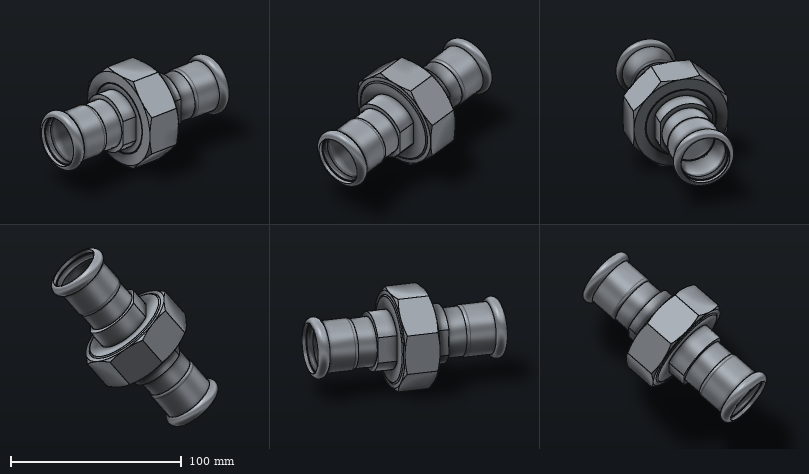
import cadquery as cq
import math

half_length = 58.5

pipe_diameter = 30.0
pipe_bore_diameter = 27.0
socket_diameter = 31.4
socket_bore_diameter = 28.4
socket_start = 33.5
socket_round_length = 2.1
bead_diameter = 37.0
bead_width = 7.3
mouth_diameter = 30.0
mouth_depth = 2.5
seat_diameter = 28.8
groove_diameter = 33.0
groove_start_depth = 2.8
groove_end_depth = 6.5
seat_end_depth = 7.3
seat_taper_length = 0.7

collar_diameter = 35.8
collar_flats = 32.0
collar_end = 22.0

nut_sides = 8
nut_flats = 58.0
nut_back = 9.5
nut_front = -12.2
nut_chamfer_angle = 30.0
nut_rim_base_diameter = 52.9
nut_rim_top_diameter = 51.0
nut_rim_height = 0.6

gap_outer_diameter = 44.0
gap_inner_diameter = 43.0
gap_depth = 1.2


def cylinder(diameter, start, end):
    """Cylinder on the Y axis between two Y positions."""
    direction = cq.Vector(0, 1, 0)
    return cq.Workplane(cq.Solid.makeCylinder(diameter / 2, end - start, cq.Vector(0, start, 0), direction))


def cone(start_diameter, end_diameter, start, end):
    """Truncated cone on the Y axis between two Y positions."""
    return cq.Workplane(
        cq.Solid.makeCone(
            start_diameter / 2, end_diameter / 2, end - start, cq.Vector(0, start, 0), cq.Vector(0, 1, 0)
        )
    )


def revolve_about_y(profile):
    return profile.close().revolve(360, (0, 0, 0), (0, 1, 0))


def make_tail():
    """Solid outer form of the +Y tail, from the middle to the rounded bead."""
    pipe_radius = pipe_diameter / 2
    socket_radius = socket_diameter / 2
    bead_round = bead_width / 2
    bead_center = half_length - bead_round
    bead_center_radius = bead_diameter / 2 - bead_round
    bead_start = bead_center - math.sqrt(bead_round**2 - (socket_radius - bead_center_radius) ** 2)
    round_rise = socket_radius - pipe_radius
    profile = (
        cq.Workplane("XY")
        .lineTo(pipe_radius, 0)
        .lineTo(pipe_radius, socket_start)
        .threePointArc(
            (pipe_radius + round_rise * math.sin(math.pi / 4),
             socket_start + socket_round_length * (1 - math.cos(math.pi / 4))),
            (socket_radius, socket_start + socket_round_length),
        )
        .lineTo(socket_radius, bead_start)
        .threePointArc((bead_diameter / 2, bead_center), (bead_center_radius, half_length))
        .lineTo(0, half_length)
    )
    return revolve_about_y(profile)


def make_bore():
    """Space inside the +Y tail: pipe bore, socket, seal seat with a round groove and mouth."""
    socket_radius = socket_bore_diameter / 2
    mouth_radius = mouth_diameter / 2
    seat_radius = seat_diameter / 2
    mouth_end = half_length - mouth_depth
    groove_outer_edge = half_length - groove_start_depth
    groove_inner_edge = half_length - groove_end_depth
    seat_end = half_length - seat_end_depth
    groove_middle = (groove_outer_edge + groove_inner_edge) / 2
    profile = (
        cq.Workplane("XY")
        .lineTo(pipe_bore_diameter / 2, 0)
        .lineTo(pipe_bore_diameter / 2, socket_start)
        .lineTo(socket_radius, socket_start)
        .lineTo(socket_radius, seat_end - seat_taper_length)
        .lineTo(seat_radius, seat_end)
        .lineTo(seat_radius, groove_inner_edge)
        .threePointArc((groove_diameter / 2, groove_middle), (seat_radius, groove_outer_edge))
        .lineTo(seat_radius, mouth_end)
        .lineTo(mouth_radius, mouth_end)
        .lineTo(mouth_radius, half_length)
        .lineTo(0, half_length)
    )
    return revolve_about_y(profile)


def make_collars():
    """Round collar on both sides of the nut, flattened on -X and +X."""
    flats = cq.Workplane("XY").box(collar_flats, 2 * collar_end, collar_diameter)
    return cylinder(collar_diameter, -collar_end, collar_end).intersect(flats)


def make_nut():
    """Octagonal nut with chamfered corners, a low rim at the back and a clearance ring in front."""
    corner_diameter = nut_flats / math.cos(math.pi / nut_sides)
    chamfer_depth = (corner_diameter - nut_flats) / 2 * math.tan(math.radians(nut_chamfer_angle))
    nut = (
        cq.Workplane("XZ", origin=(0, nut_back, 0))
        .transformed(rotate=(0, 0, 180 / nut_sides))
        .polygon(nut_sides, corner_diameter)
        .extrude(nut_back - nut_front)
    )
    front_chamfer_end = nut_front + chamfer_depth
    back_chamfer_start = nut_back - chamfer_depth
    envelope = (
        cone(nut_flats, corner_diameter, nut_front, front_chamfer_end)
        .union(cylinder(corner_diameter, front_chamfer_end, back_chamfer_start))
        .union(cone(corner_diameter, nut_flats, back_chamfer_start, nut_back))
    )
    rim = cone(nut_rim_base_diameter, nut_rim_top_diameter, nut_back, nut_back + nut_rim_height)
    gap_end = nut_front + gap_depth
    gap = cylinder(gap_outer_diameter, nut_front, gap_end).cut(cylinder(gap_inner_diameter, nut_front, gap_end))
    return nut.intersect(envelope).union(rim).cut(gap)


tail = make_tail()
bore = make_bore()
body = make_nut().union(make_collars()).union(tail).union(tail.mirror("XZ"))
result = body.cut(bore).cut(bore.mirror("XZ"))